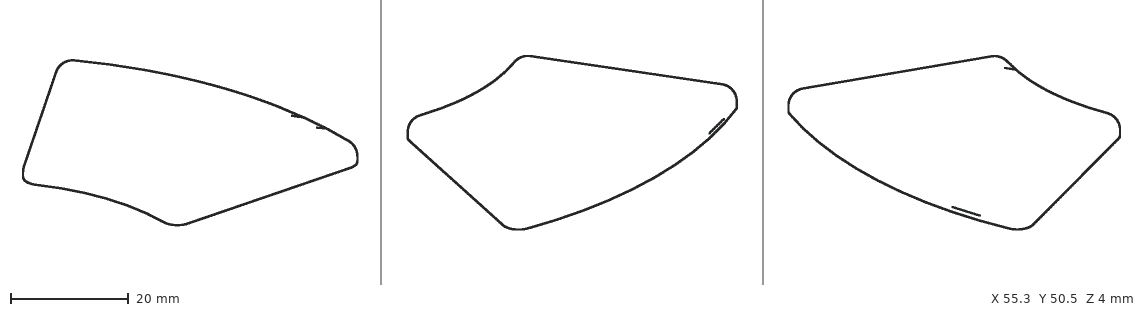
import cadquery as cq
import math

sweep_angle = 45.0
outer_radius = 80.0
inner_radius = outer_radius / 2
edge_radius = 3.0
height = 4.0


def point_on_arc(radius, angle):
    """Point at the given angle, measured from +Y round toward -X."""
    turn = math.radians(angle)
    return (-radius * math.sin(turn), radius * math.cos(turn))


def ring_sector():
    """Flat plate bounded by two concentric arcs and two radial ends."""
    return (
        cq.Workplane("XY")
        .moveTo(*point_on_arc(inner_radius, 0))
        .lineTo(*point_on_arc(outer_radius, 0))
        .threePointArc(
            point_on_arc(outer_radius, sweep_angle / 2),
            point_on_arc(outer_radius, sweep_angle),
        )
        .lineTo(*point_on_arc(inner_radius, sweep_angle))
        .threePointArc(
            point_on_arc(inner_radius, sweep_angle / 2),
            point_on_arc(inner_radius, 0),
        )
        .close()
        .extrude(height)
    )


result = ring_sector().edges("|Z or >Z").fillet(edge_radius)